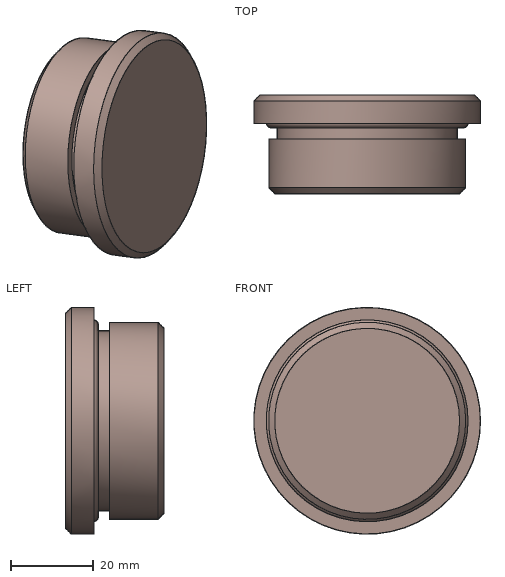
import cadquery as cq

flange_diameter = 55.0
body_diameter = 47.8
neck_diameter = 43.7
total_length = 24.0
flange_thickness = 7.0
neck_length = 3.7
edge_chamfer = 1.5

ring_section_diameter = 2.65
ring_protrusion = 1.05

flange_face = total_length - flange_thickness
body_length = flange_face - neck_length
ring_section_radius = ring_section_diameter / 2
ring_center_radius = neck_diameter / 2 + ring_section_radius
ring_center_y = flange_face - ring_protrusion + ring_section_radius


def disc(diameter, start_y, length):
    """Solid cylinder along +Y starting at start_y."""
    plane = cq.Plane(origin=(0, start_y, 0), xDir=(1, 0, 0), normal=(0, 1, 0))
    return cq.Workplane(plane).circle(diameter / 2).extrude(length)


def sealing_ring():
    """Torus around the Y axis."""
    section = cq.Workplane("XY").center(ring_center_radius, ring_center_y).circle(ring_section_radius)
    return section.revolve(360, (-ring_center_radius, 0), (-ring_center_radius, 1))


body = disc(body_diameter, 0, body_length).faces("<Y").edges().chamfer(edge_chamfer)
neck = disc(neck_diameter, 0, total_length)
flange = disc(flange_diameter, flange_face, flange_thickness).faces(">Y").edges().chamfer(edge_chamfer)

result = body.union(neck).union(flange).union(sealing_ring())